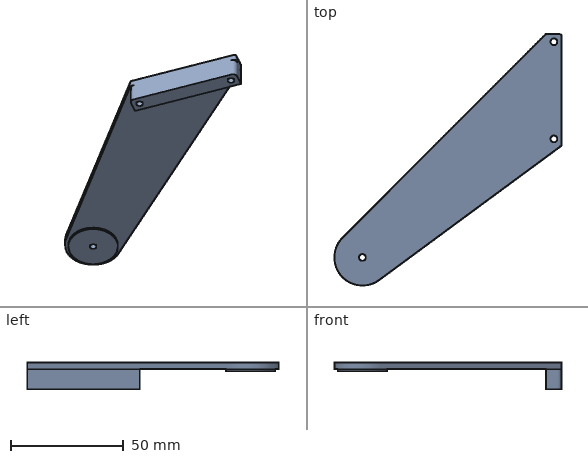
import cadquery as cq
import math

plate_thickness = 3.0
pivot_radius = 12.5
boss_diameter = 22.0
boss_height = 1.0
hole_diameter = 2.9
plate_corner_radius = 1.0

block_right = 88.5
block_top = 99.2
block_width = 7.0
block_length = 50.0
block_height = 8.9
block_corner_radius = 2.0
hole_edge_distance = 3.5

block_left = block_right - block_width
block_bottom = block_top - block_length


def polar(center, radius, angle):
    """Point on a circle at the given angle in radians."""
    return (center[0] + radius * math.cos(angle), center[1] + radius * math.sin(angle))


def make_plate():
    """Arm wrapped tangentially around the pivot end and the block end."""
    pivot = (0, 0)
    upper_center = (block_right - plate_corner_radius, block_top - plate_corner_radius)
    lower_center = (block_right - plate_corner_radius, block_bottom + plate_corner_radius)

    corner_distance = math.hypot(block_left, block_top)
    upper_angle = math.atan2(block_top, block_left) + math.acos(pivot_radius / corner_distance)

    center_distance = math.hypot(*lower_center)
    lower_angle = math.atan2(lower_center[1], lower_center[0]) - math.acos(
        (pivot_radius - plate_corner_radius) / center_distance
    )
    pivot_middle_angle = (upper_angle + lower_angle) / 2 + math.pi

    return (
        cq.Workplane("XY")
        .moveTo(*polar(pivot, pivot_radius, upper_angle))
        .lineTo(block_left, block_top)
        .lineTo(upper_center[0], block_top)
        .threePointArc(
            polar(upper_center, plate_corner_radius, math.pi / 4),
            (block_right, upper_center[1]),
        )
        .lineTo(block_right, lower_center[1])
        .threePointArc(
            polar(lower_center, plate_corner_radius, lower_angle / 2),
            polar(lower_center, plate_corner_radius, lower_angle),
        )
        .lineTo(*polar(pivot, pivot_radius, lower_angle))
        .threePointArc(
            polar(pivot, pivot_radius, pivot_middle_angle),
            polar(pivot, pivot_radius, upper_angle),
        )
        .close()
        .extrude(plate_thickness)
    )


def make_block():
    """Mounting block with its two outer vertical edges rounded."""
    return (
        cq.Workplane("XY")
        .moveTo(block_left, block_bottom)
        .rect(block_width, block_length, centered=False)
        .extrude(-block_height)
        .edges("|Z and >X")
        .fillet(block_corner_radius)
    )


def make_boss():
    """Shallow round pad under the pivot."""
    return cq.Workplane("XY").circle(boss_diameter / 2).extrude(-boss_height)


def make_holes():
    """Pivot hole and two mounting holes, running through the full height."""
    hole_x = block_right - hole_edge_distance
    hole_places = [
        (0, 0),
        (hole_x, block_bottom + hole_edge_distance),
        (hole_x, block_top - hole_edge_distance),
    ]
    return (
        cq.Workplane("XY")
        .workplane(offset=-block_height)
        .pushPoints(hole_places)
        .circle(hole_diameter / 2)
        .extrude(block_height + plate_thickness)
    )


result = make_plate().union(make_block()).union(make_boss()).cut(make_holes())